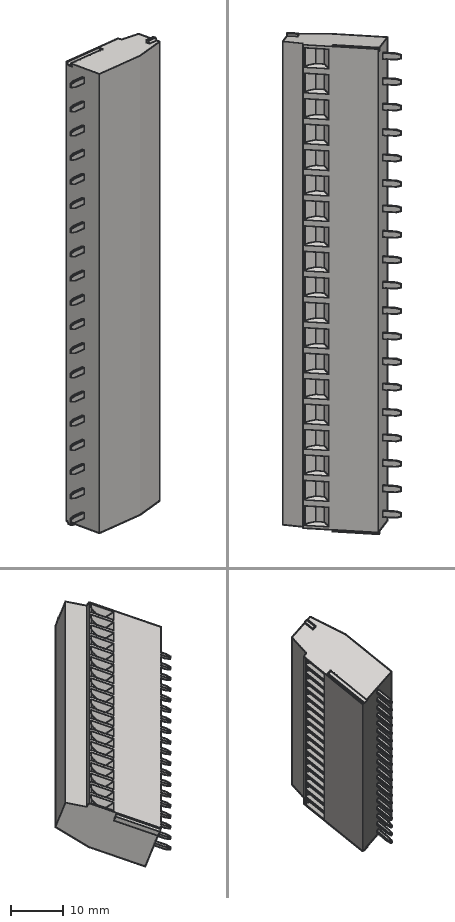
import cadquery as cq


POLES = 19
PITCH = 5.08
BODY_HEIGHT = POLES * PITCH

BODY_WIDTH = 8.6
BODY_DEPTH = 19.05
ENTRY_FACE_END_Y = 14.75
LEDGE_END_X = 0.85
LEDGE_END_Y = 14.95
REAR_LEFT_X = 1.47
REAR_RIGHT_X = 6.93
RIGHT_SLOPE_START_Y = 11.6

ENTRY_START_Y = 9.68
ENTRY_END_Y = 14.36
ENTRY_DEPTH = 1.45
ENTRY_FLOOR_START_Y = 10.85
ENTRY_FLOOR_END_Y = 12.6
ENTRY_RAMP_END_Y = 13.78
ENTRY_RAMP_END_DEPTH = 0.9
ENTRY_END_WALL_DEPTH = 0.4
ENTRY_MOUTH_HEIGHT = 3.9
ENTRY_FLOOR_HEIGHT = 3.0

PIN_LENGTH = 3.55
PIN_TIP_LENGTH = 0.95
PIN_THICKNESS = 0.5
PIN_WIDTH = 1.2
PIN_TIP_THICKNESS = 0.3
PIN_TIP_WIDTH = 0.7
PIN_X = 4.42

JOINT_LENGTH = 9.1
JOINT_LEFT_X = 0.25
JOINT_RIGHT_X = 1.17
JOINT_LEAN = 0.33
GROOVE_DEPTH = 0.6
TONGUE_HEIGHT = 0.5

KEY_HEIGHT = 0.5
KEY_LENGTH = 2.1
KEY_LEFT_X = 5.27
KEY_RIGHT_X = 6.15
KEY_TOP_RIGHT_X = 5.87


def prism_along_y(points, start_y, length):
    """Extrude an XZ outline toward +Y from start_y."""
    outline = cq.Workplane("XZ", origin=(0, start_y, 0)).polyline(points).close()
    return outline.extrude(-length)


def make_housing():
    outline = [
        (0, 0),
        (BODY_WIDTH, 0),
        (BODY_WIDTH, RIGHT_SLOPE_START_Y),
        (REAR_RIGHT_X, BODY_DEPTH),
        (REAR_LEFT_X, BODY_DEPTH),
        (LEDGE_END_X, LEDGE_END_Y),
        (0, ENTRY_FACE_END_Y),
    ]
    return cq.Workplane("XY").polyline(outline).close().extrude(BODY_HEIGHT)


def make_wire_entry(center_z):
    """Ramped recess whose upper and lower walls converge toward its floor."""
    recess_outline = [
        (0, ENTRY_START_Y),
        (ENTRY_DEPTH, ENTRY_FLOOR_START_Y),
        (ENTRY_DEPTH, ENTRY_FLOOR_END_Y),
        (ENTRY_RAMP_END_DEPTH, ENTRY_RAMP_END_Y),
        (ENTRY_END_WALL_DEPTH, ENTRY_END_Y),
        (0, ENTRY_END_Y),
    ]
    half_mouth = ENTRY_MOUTH_HEIGHT / 2
    half_floor = ENTRY_FLOOR_HEIGHT / 2
    funnel_outline = [
        (0, center_z - half_mouth),
        (ENTRY_DEPTH, center_z - half_floor),
        (ENTRY_DEPTH, center_z + half_floor),
        (0, center_z + half_mouth),
    ]
    recess = (
        cq.Workplane("XY", origin=(0, 0, center_z - half_mouth))
        .polyline(recess_outline)
        .close()
        .extrude(ENTRY_MOUTH_HEIGHT)
    )
    funnel = prism_along_y(funnel_outline, ENTRY_START_Y, ENTRY_END_Y - ENTRY_START_Y)
    return recess.intersect(funnel)


def make_pin(center_z):
    """Flat pin on the front face, tapering over its tip."""
    shank_length = PIN_LENGTH - PIN_TIP_LENGTH
    front = cq.Workplane("XZ", origin=(PIN_X, 0, center_z))
    shank = front.rect(PIN_THICKNESS, PIN_WIDTH).extrude(shank_length)
    tip = (
        front.workplane(offset=shank_length)
        .rect(PIN_THICKNESS, PIN_WIDTH)
        .workplane(offset=PIN_TIP_LENGTH)
        .rect(PIN_TIP_THICKNESS, PIN_TIP_WIDTH)
        .loft(ruled=True)
    )
    return shank.union(tip)


def make_joint_rib(root_z, height):
    """Leaning prism from root_z down by height; it shapes both tongue and groove."""
    end_z = root_z - height
    outline = [
        (JOINT_LEFT_X, root_z),
        (JOINT_LEFT_X + JOINT_LEAN, end_z),
        (JOINT_RIGHT_X + JOINT_LEAN, end_z),
        (JOINT_RIGHT_X, root_z),
    ]
    return prism_along_y(outline, 0, JOINT_LENGTH)


def make_key():
    key_top_z = BODY_HEIGHT + KEY_HEIGHT
    outline = [
        (KEY_LEFT_X, BODY_HEIGHT),
        (KEY_RIGHT_X, BODY_HEIGHT),
        (KEY_TOP_RIGHT_X, key_top_z),
        (KEY_LEFT_X, key_top_z),
    ]
    return prism_along_y(outline, BODY_DEPTH - KEY_LENGTH, KEY_LENGTH)


tongue = make_joint_rib(0, TONGUE_HEIGHT)
groove = make_joint_rib(BODY_HEIGHT, GROOVE_DEPTH)

result = make_housing().union(tongue).union(make_key()).cut(groove)
for pole in range(POLES):
    pole_z = (pole + 0.5) * PITCH
    result = result.cut(make_wire_entry(pole_z)).union(make_pin(pole_z))